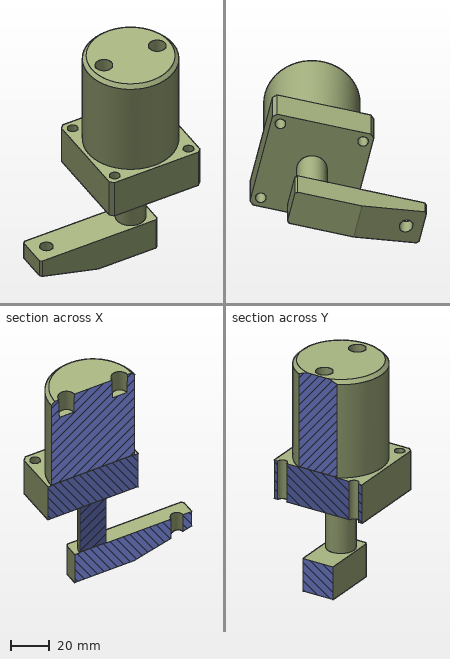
import cadquery as cq

total_height = 127.0
total_depth = 86.0

flange_side = 54.0
flange_height = 22.4
flange_corner_chamfer = 2.0
mount_hole_diameter = 5.5
mount_hole_pitch = 44.0

barrel_diameter = 50.0
barrel_height = 55.9
barrel_rim_chamfer = 2.0
port_mouth_diameter = 9.1
port_floor_diameter = 8.4
port_offset = 15.9
port_depth = 12.0

rod_diameter = 16.0

arm_width = 18.5
arm_height = 19.0
arm_back = 11.0
arm_tip_height = 10.0
arm_taper_length = 34.5
arm_corner_chamfer = 1.1
arm_hole_diameter = 7.0
arm_hole_to_tip = 8.9

rod_bottom = arm_height
barrel_bottom = total_height - barrel_height
flange_bottom = barrel_bottom - flange_height
rod_length = flange_bottom - rod_bottom

arm_tip = flange_side / 2 - total_depth


def make_barrel():
    """Barrel with a chamfered rim and two tapered blind ports in its top face."""
    barrel = (
        cq.Workplane("XY", origin=(0, 0, barrel_bottom))
        .circle(barrel_diameter / 2)
        .extrude(barrel_height)
        .faces(">Z")
        .edges()
        .chamfer(barrel_rim_chamfer)
    )
    for port_y in (-port_offset, port_offset):
        port = cq.Solid.makeCone(
            port_floor_diameter / 2,
            port_mouth_diameter / 2,
            port_depth,
            pnt=cq.Vector(0, port_y, total_height - port_depth),
        )
        barrel = barrel.cut(cq.Workplane(obj=port))
    return barrel


def make_flange():
    """Square block with chamfered corners and a through hole near each corner."""
    block = (
        cq.Workplane("XY", origin=(0, 0, flange_bottom))
        .rect(flange_side, flange_side)
        .extrude(flange_height)
        .edges("|Z")
        .chamfer(flange_corner_chamfer)
    )
    mount_holes = (
        cq.Workplane("XY", origin=(0, 0, flange_bottom))
        .rect(mount_hole_pitch, mount_hole_pitch, forConstruction=True)
        .vertices()
        .circle(mount_hole_diameter / 2)
        .extrude(flange_height)
    )
    return block.cut(mount_holes)


def make_rod():
    """Plain round rod between the flange and the arm."""
    return (
        cq.Workplane("XY", origin=(0, 0, rod_bottom))
        .circle(rod_diameter / 2)
        .extrude(rod_length)
    )


def make_arm():
    """Clamp arm whose underside slopes up to the tip, with a hole near the tip."""
    side_outline = [
        (arm_back, 0),
        (arm_back, arm_height),
        (arm_tip, arm_height),
        (arm_tip, arm_height - arm_tip_height),
        (arm_tip + arm_taper_length, 0),
    ]
    arm = (
        cq.Workplane("YZ")
        .polyline(side_outline)
        .close()
        .extrude(arm_width / 2, both=True)
        .edges("|Z")
        .chamfer(arm_corner_chamfer)
    )
    clamp_hole = (
        cq.Workplane("XY")
        .center(0, arm_tip + arm_hole_to_tip)
        .circle(arm_hole_diameter / 2)
        .extrude(arm_height)
    )
    return arm.cut(clamp_hole)


barrel = make_barrel()
flange = make_flange()
rod = make_rod()
arm = make_arm()

result = cq.Compound.makeCompound([barrel.val(), flange.val(), rod.val(), arm.val()])